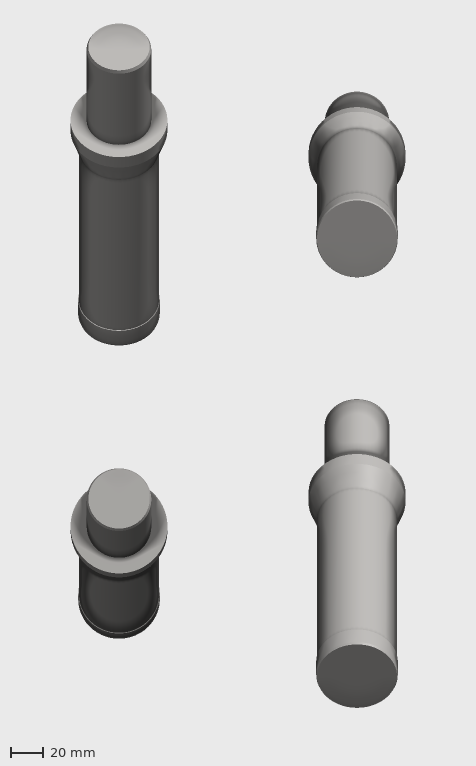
import cadquery as cq

total_height = 256.5

rod_diameter = 40.0
rod_exposed_length = 70.0
rod_chamfer_height = 2.0
rod_chamfer_width = 1.0

collar_diameter = 60.0
collar_height = 10.0
taper_height = 18.0
barrel_diameter = 49.5
foot_diameter = 50.5
foot_height = 14.5
foot_chamfer_height = 1.5
foot_chamfer_width = 0.5

collar_top = total_height - rod_exposed_length
collar_bottom = collar_top - collar_height
taper_bottom = collar_bottom - taper_height
rod_radius = rod_diameter / 2
collar_radius = collar_diameter / 2
barrel_radius = barrel_diameter / 2
foot_radius = foot_diameter / 2


def revolve_about_z(half_section):
    """Revolve a closed (radius, height) outline about the Z axis."""
    return cq.Workplane("XZ").polyline(half_section).close().revolve(360, (0, 0), (0, 1))


def make_rod():
    """Solid round rod with a chamfered top end."""
    return revolve_about_z([
        (0, 0),
        (rod_radius, 0),
        (rod_radius, total_height - rod_chamfer_height),
        (rod_radius - rod_chamfer_width, total_height),
        (0, total_height),
    ])


def make_sleeve():
    """Collared sleeve whose bore fits the rod."""
    return revolve_about_z([
        (rod_radius, 0),
        (foot_radius - foot_chamfer_width, 0),
        (foot_radius, foot_chamfer_height),
        (foot_radius, foot_height),
        (barrel_radius, foot_height),
        (barrel_radius, taper_bottom),
        (collar_radius, collar_bottom),
        (collar_radius, collar_top),
        (rod_radius, collar_top),
    ])


rod = make_rod()
sleeve = make_sleeve()

result = cq.Compound.makeCompound([rod.val(), sleeve.val()])